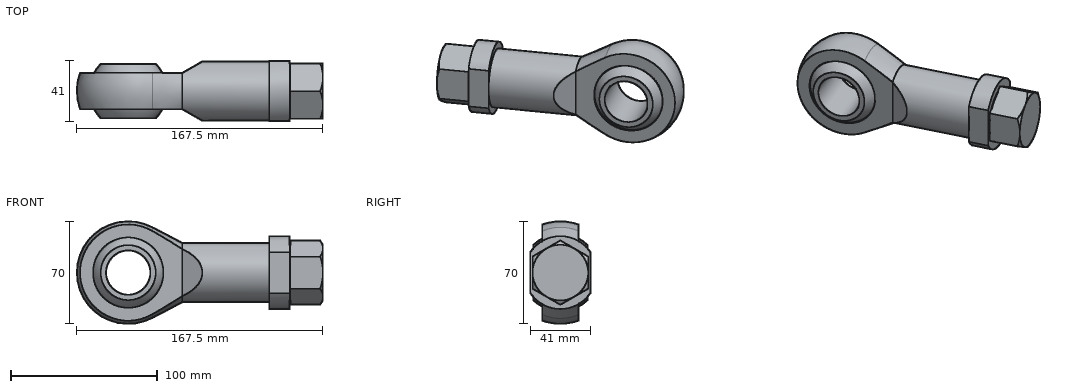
import cadquery as cq
import math


eye_radius = 35.0
eye_thickness = 24.8
cone_start_x = 16.3
shank_start_x = 36.9
shank_diameter = 40.4
taper_end_x = 50.5

collar_start_x = 95.8
collar_end_x = 109.9
collar_diameter = 49.6
collar_flat_width = 41.0

hex_gap = 0.5
hex_across_flats = 37.9
hex_chamfer_length = 1.8
overall_length = 167.5
hex_start_x = collar_end_x + hex_gap
hex_end_x = overall_length - eye_radius
hex_corner_radius = hex_across_flats / math.sqrt(3)

ball_diameter = 52.8
ball_width = 37.2
bore_diameter = 30.0
socket_mouth_diameter = 47.9


def disc_along_x(start_x, end_x, diameter):
    return cq.Workplane("YZ", origin=(start_x, 0, 0)).circle(diameter / 2).extrude(end_x - start_x)


def make_blank():
    """Spherical eye, near-tangent cone and shank as one turned shape about X."""
    shank_radius = shank_diameter / 2
    cone_start_radius = math.sqrt(eye_radius**2 - cone_start_x**2)
    arc_middle = eye_radius * math.sqrt(0.5)
    return (
        cq.Workplane("XY")
        .moveTo(-eye_radius, 0)
        .threePointArc((-arc_middle, arc_middle), (cone_start_x, cone_start_radius))
        .lineTo(shank_start_x, shank_radius)
        .lineTo(collar_start_x, shank_radius)
        .lineTo(collar_start_x, 0)
        .close()
        .revolve(360, (0, 0, 0), (1, 0, 0))
    )


def make_side_envelope():
    """Flat eye cheeks that open along sloping planes to the full shank width."""
    eye_half = eye_thickness / 2
    shank_half = shank_diameter / 2
    return (
        cq.Workplane("XY")
        .polyline([
            (-eye_radius, -eye_half),
            (shank_start_x, -eye_half),
            (taper_end_x, -shank_half),
            (collar_start_x, -shank_half),
            (collar_start_x, shank_half),
            (taper_end_x, shank_half),
            (shank_start_x, eye_half),
            (-eye_radius, eye_half),
        ])
        .close()
        .extrude(eye_radius, both=True)
    )


def make_collar():
    collar = disc_along_x(collar_start_x, collar_end_x, collar_diameter)
    flats = cq.Workplane("XY").box(2 * collar_end_x, collar_flat_width, collar_diameter)
    return collar.intersect(flats)


def make_hex_end():
    """Hexagon with two flats square to Y, chamfered at its free end, on a round spacer."""
    hex_length = hex_end_x - hex_start_x
    hexagon = (
        cq.Workplane("YZ", origin=(hex_start_x, 0, 0))
        .polygon(6, 2 * hex_corner_radius)
        .extrude(hex_length)
        .rotate((0, 0, 0), (1, 0, 0), 90)
    )
    chamfer_cone = (
        cq.Workplane("XY")
        .moveTo(hex_start_x, 0)
        .lineTo(hex_start_x, hex_corner_radius)
        .lineTo(hex_end_x - hex_chamfer_length, hex_corner_radius)
        .lineTo(hex_end_x, hex_across_flats / 2)
        .lineTo(hex_end_x, 0)
        .close()
        .revolve(360, (0, 0, 0), (1, 0, 0))
    )
    spacer = disc_along_x(collar_end_x, hex_start_x, hex_across_flats)
    return hexagon.intersect(chamfer_cone).union(spacer)


def make_ball_blank(width):
    """Ball cut off flat at both ends, turned about the bore axis Y."""
    half_width = width / 2
    ball_radius = ball_diameter / 2
    face_radius = math.sqrt(ball_radius**2 - half_width**2)
    return (
        cq.Workplane("XY")
        .moveTo(0, -half_width)
        .lineTo(face_radius, -half_width)
        .threePointArc((ball_radius, 0), (face_radius, half_width))
        .lineTo(0, half_width)
        .close()
        .revolve(360, (0, 0, 0), (0, 1, 0))
    )


def cylinder_along_y(diameter, length):
    return cq.Workplane("XZ").circle(diameter / 2).extrude(length / 2, both=True)


def make_socket():
    """Spherical seat for the ball, opened by a straight hole through the eye."""
    return make_ball_blank(eye_thickness).union(cylinder_along_y(socket_mouth_diameter, eye_thickness))


def make_housing():
    body = make_blank().intersect(make_side_envelope())
    return body.union(make_collar()).union(make_hex_end()).cut(make_socket())


def make_ball():
    return make_ball_blank(ball_width).cut(cylinder_along_y(bore_diameter, ball_width))


housing = make_housing()
ball = make_ball()
result = cq.Compound.makeCompound([housing.val(), ball.val()])